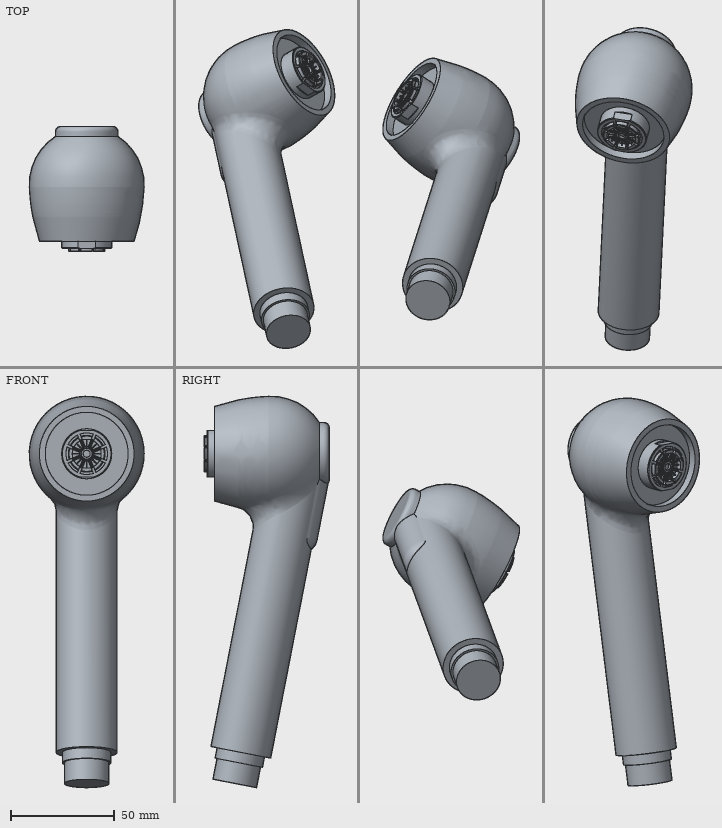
import cadquery as cq
import math


head_radius = 27.9
dome_back_y = 29.0
face_y = -26.3
face_radius = 23.0
recess_radius = 20.0
recess_depth = 4.2

cap_radius = 15.2
cap_back_y = 29.4
cap_thickness = 6.6
cap_fillet = 2.7

handle_tilt = math.radians(11)
handle_axis_y = 14.6
handle_radius = 14.8
handle_start = 9.5
handle_end = 147.3
collar_radius = 11.8
collar_end = 152.4
spigot_radius = 10.8
spigot_end = 162.6
neck_fillet = 9.5

ridge_radius = 10.8
ridge_top = 16.7
ridge_start = 9.5
ridge_end = 46.8
ridge_fillet = 7.5

nozzle_radius = 12.1
nozzle_front_y = -29.8
nozzle_chamfer = 0.4
flat_offset = 11.4
flat_length = 4.4

groove_radius = 10.0
groove_depth = 1.1
crown_radius = 9.0
crown_inner_radius = 7.0
crown_front_y = -31.3
crown_depth = 2.7
crown_chamfer = 0.4
slot_count = 8
slot_width = 1.3

hub_height = crown_depth / 2
hub_radius = 3.2
hub_hole_radius = 1.7
rib_count = 16
rib_width = 0.4
hub_chamfer = 0.5


def handle_plane(distance):
    """Plane square to the handle axis: local Z runs down the handle, local Y to its back."""
    down = cq.Vector(0, -math.sin(handle_tilt), -math.cos(handle_tilt))
    origin = cq.Vector(0, handle_axis_y, 0) + down * distance
    return cq.Plane(origin=origin, xDir=(-1, 0, 0), normal=down)


def handle_cylinder(radius, start, end):
    return cq.Workplane(handle_plane(start)).circle(radius).extrude(end - start)


def facing_plane(y):
    """Plane square to the head axis: local Z points out of the face, local Y points up."""
    return cq.Plane(origin=(0, y, 0), xDir=(1, 0, 0), normal=(0, -1, 0))


def head_cylinder(radius, back_y, front_y):
    return cq.Workplane(facing_plane(back_y)).circle(radius).extrude(back_y - front_y)


def make_head():
    dome_centre_y = (dome_back_y**2 - head_radius**2) / (2 * dome_back_y)
    dome_radius = dome_back_y - dome_centre_y
    dome_middle = dome_radius * math.sqrt(0.5)
    return (
        cq.Workplane("XY")
        .moveTo(0, dome_back_y)
        .threePointArc((dome_middle, dome_centre_y + dome_middle), (head_radius, 0))
        .tangentArcPoint((face_radius, face_y), relative=False)
        .lineTo(0, face_y)
        .close()
        .revolve(360, (0, 0, 0), (0, 1, 0))
    )


def join_with_neck(head, handle):
    """Join head and handle, with a fillet along the curves where their surfaces meet."""
    joined = head.union(handle)
    return joined.edges("%BSPLINE").fillet(neck_fillet)


def make_cap():
    cap = head_cylinder(cap_radius, cap_back_y, cap_back_y - cap_thickness)
    return cap.faces(">Y").edges().fillet(cap_fillet)


def make_ridge():
    axis_offset = ridge_top - ridge_radius
    ridge = (
        cq.Workplane(handle_plane(ridge_start))
        .center(0, axis_offset)
        .circle(ridge_radius)
        .extrude(ridge_end - ridge_start)
    )
    return ridge.faces("<Z").edges().fillet(ridge_fillet)


def make_slots(back_y, front_y):
    """Radial bars between the crown teeth."""
    bar_length = 2 * (groove_radius - hub_radius)
    half_pitch = 180 / slot_count
    return (
        cq.Workplane(facing_plane(back_y))
        .polarArray(groove_radius, half_pitch, 360, slot_count)
        .rect(bar_length, slot_width)
        .extrude(back_y - front_y)
    )


def make_nozzle():
    """Round nozzle with an upper and a lower flat at its front and a recess for the crown."""
    floor_y = face_y + recess_depth
    nozzle = head_cylinder(nozzle_radius, floor_y, nozzle_front_y)
    nozzle = nozzle.faces("<Y").edges().chamfer(nozzle_chamfer)
    between_flats = (
        cq.Workplane(facing_plane(nozzle_front_y + flat_length))
        .rect(2 * nozzle_radius, 2 * flat_offset)
        .extrude(flat_length)
    )
    body = head_cylinder(nozzle_radius, floor_y, nozzle_front_y + flat_length)
    groove_back_y = nozzle_front_y + groove_depth
    groove = head_cylinder(groove_radius, groove_back_y, nozzle_front_y)
    groove = groove.cut(make_slots(groove_back_y, nozzle_front_y))
    return nozzle.intersect(body.union(between_flats)).cut(groove)


def make_crown():
    """Ring of teeth with a ribbed hub inside it."""
    floor_y = crown_front_y + crown_depth
    crown = head_cylinder(crown_radius, floor_y, crown_front_y)
    crown = crown.faces("<Y").edges().chamfer(crown_chamfer)
    crown = crown.cut(head_cylinder(crown_inner_radius, floor_y, crown_front_y))
    slots = make_slots(nozzle_front_y, crown_front_y)
    rib_length = crown_inner_radius - hub_radius
    rib_overlap = 2 * rib_width
    ribs = (
        cq.Workplane(facing_plane(floor_y))
        .polarArray(hub_radius + rib_length / 2, 0, 360, rib_count)
        .rect(rib_length + rib_overlap, rib_width)
        .extrude(hub_height)
    )
    hub = head_cylinder(hub_radius, floor_y, floor_y - hub_height)
    hub = hub.faces("<Y").edges().chamfer(hub_chamfer)
    hub_hole = head_cylinder(hub_hole_radius, floor_y, crown_front_y)
    return crown.cut(slots).union(ribs).union(hub).cut(hub_hole)


handle = handle_cylinder(handle_radius, handle_start, handle_end)
collar = handle_cylinder(collar_radius, handle_end, collar_end)
spigot = handle_cylinder(spigot_radius, collar_end, spigot_end)
recess = head_cylinder(recess_radius, face_y + recess_depth, face_y)

result = (
    join_with_neck(make_head(), handle)
    .union(collar)
    .union(spigot)
    .union(make_ridge())
    .union(make_cap())
    .cut(recess)
    .union(make_nozzle())
    .union(make_crown())
)